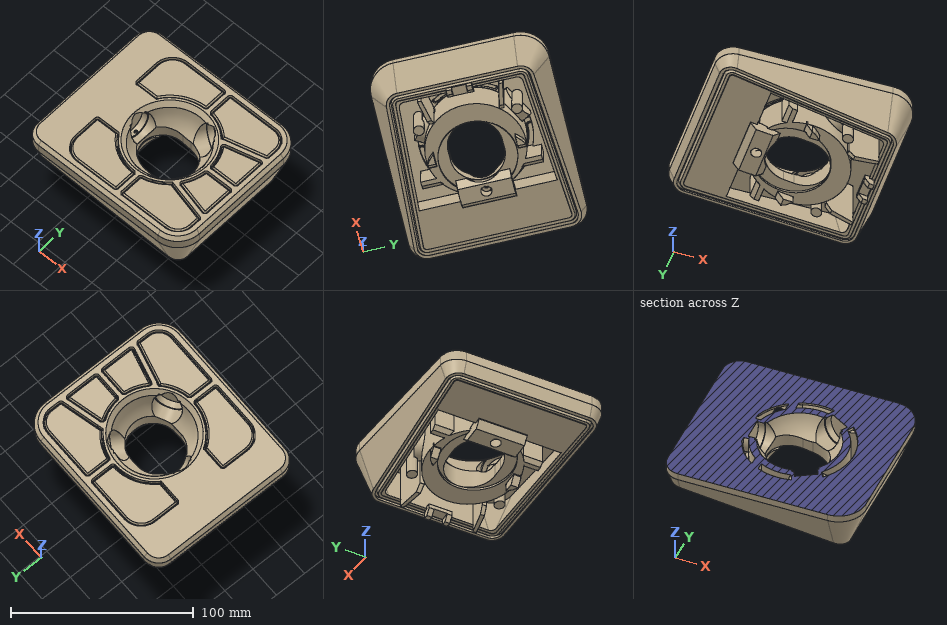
import cadquery as cq
import math

LENGTH = 115.0
WIDTH = 100.0
LOW_CORNER_RADIUS = 10.4
HIGH_CORNER_RADIUS = 16.1
TOP_CHAMFER = 2.2
BAND_HEIGHT = 8.2
SIDE_TAPER = 20.0
BOTTOM_SLOPE = 9.7
BOTTOM_Z_AT_CENTRE = -24.7
FULL_DEPTH = 33.9

RIM_WIDTH = 1.8
RIM_GROOVE_WIDTH = 1.7
RIM_GROOVE_DEPTH = 2.3
PLATE_INSET = 5.3
PLATE_RECESS = 0.3

SOCKET_X = 4.4
SOCKET_MOUTH_RADIUS = 26.7
SOCKET_NECK_RADIUS = 23.8
SOCKET_BALL_RADIUS = 24.5
OVAL_X = 3.1
OVAL_LENGTH = 36.2
OVAL_WIDTH = 30.2
UNDER_RECESS_X = -0.6
UNDER_RECESS_RADIUS = 21.8
UNDER_RECESS_DEPTH = 1.7

SIDE_POCKET_ANGLES = (60.0, 180.0, 300.0)
SIDE_POCKET_Z = -8.6
SIDE_POCKET_DIAMETER = 17.4
SIDE_BORE_DIAMETER = 15.6
SIDE_POCKET_STEP = 23.7
SIDE_BORE_END = 27.7
SIDE_BOSS_DIAMETER = 19.5
SIDE_BOSS_END = 32.2

SCREW_X = -20.7
SCREW_DIAMETER = 2.0
SCREW_HEAD_DIAMETER = 6.0
SCREW_HEAD_DEPTH = 3.5

PAD_LEFT = -35.6
PAD_RIGHT = 52.3
PAD_SIDE = 44.7
PAD_INNER_SIDE = 15.1
PAD_SOCKET_RADIUS = 28.2
WEB_WIDTH = 2.5
CROSS_WEB_X = 6.8
SLANT_WEB_X = 28.9
SLANT_WEB_Y = 19.5
SLANT_WEB_ANGLE = 14.2
LEFT_PAD_RADIUS = 12.1
RIGHT_PAD_RADIUS = 10.4
PAD_SMALL_RADIUS = 1.8
END_PAD_SOCKET_X = (28.0, 32.4)
SLIT_WIDTH = 0.8
SLIT_DEPTH = 3.5
PAD_CHAMFER = 0.9

CAVITY_START_X = -25.1
CAVITY_CEILING = -5.2
CAVITY_WALL = 5.9
CAVITY_CORNER_RADIUS = 12.6
SOCKET_WALL_RADIUS = 28.0
RELIEF_RADIUS = 31.6
RELIEF_CEILING = -2.9
RIB_TOE_X = -10.4
RIB_THICKNESS = 2.3
RIB_RAMP = 2.8
RIB_Y = (20.7, 33.9)
POST_X = 23.0
POST_Y = 27.6
POST_DIAMETER = 6.0
POST_BOTTOM = -29.2

HOOK_HALF_WIDTH = 15.2
SIDE_CLIP_Y = (23.0, 27.6)
LEG_Y = (4.1, 7.2)
LEG_X = (39.6, 44.8)
LEG_ROOT = -29.9
LEG_RAMP_TOP = -32.4
LEG_RAMP_END = (42.1, -36.2)
LEG_BOTTOM = -36.7
BRIDGE_BOTTOM = -32.2

SLOPE = math.tan(math.radians(BOTTOM_SLOPE))


def bottom_z(x):
    """Height of the sloping bottom plane at the given X."""
    return BOTTOM_Z_AT_CENTRE - SLOPE * x


def above_bottom(lift=0.0):
    """Everything above the sloping bottom plane, which may be lifted."""
    points = [
        (-LENGTH, bottom_z(-LENGTH) + lift),
        (LENGTH, bottom_z(LENGTH) + lift),
        (LENGTH, LENGTH),
        (-LENGTH, LENGTH),
    ]
    return cq.Workplane("XZ").polyline(points).close().extrude(WIDTH, both=True)


def straight_band(inset):
    """Straight-sided band of the plate, with every side moved in by inset."""
    plate = cq.Workplane("XY").rect(LENGTH - 2 * inset, WIDTH - 2 * inset).extrude(-BAND_HEIGHT)
    plate = plate.edges("|Z and <X").fillet(LOW_CORNER_RADIUS - inset)
    return plate.edges("|Z and >X").fillet(HIGH_CORNER_RADIUS - inset)


def tapered_body(inset):
    """Straight band with the tapered skirt below it."""
    band = straight_band(inset)
    skirt = (
        band.faces("<Z").wires().toPending()
        .workplane()
        .extrude(FULL_DEPTH - BAND_HEIGHT, taper=SIDE_TAPER, combine=False)
    )
    return band.union(skirt)


def with_mirror(solid):
    """The solid together with its mirror image across Y = 0."""
    return solid.union(solid.mirror("XZ"))


def profile_block(points, y_range):
    """Side profile in X and Z, swept between two Y positions."""
    start, end = y_range
    return cq.Workplane("XZ", origin=(0, start, 0)).polyline(points).close().extrude(start - end)


def socket_cylinder(radius, top, bottom):
    """Vertical cylinder on the socket axis."""
    return cq.Workplane("XY", origin=(SOCKET_X, 0, bottom)).circle(radius).extrude(top - bottom)


def side_cylinder(angle, diameter, end):
    """Horizontal cylinder on a side pocket's axis, from the socket axis outwards."""
    cylinder = cq.Workplane("YZ", origin=(0, 0, SIDE_POCKET_Z)).circle(diameter / 2).extrude(end)
    return cylinder.rotate((0, 0, 0), (0, 0, 1), angle).translate((SOCKET_X, 0, 0))


def make_wedge():
    wedge = tapered_body(0).intersect(above_bottom())
    return wedge.faces(">Z").chamfer(TOP_CHAMFER)


def make_rim_groove():
    groove = tapered_body(RIM_WIDTH).cut(tapered_body(RIM_WIDTH + RIM_GROOVE_WIDTH))
    return groove.cut(above_bottom(RIM_GROOVE_DEPTH))


def make_plate_recess():
    return tapered_body(PLATE_INSET).cut(above_bottom(PLATE_RECESS))


def make_cavity():
    floor_plan = cq.Sketch().rect(LENGTH - 2 * CAVITY_WALL, WIDTH - 2 * CAVITY_WALL)
    floor_plan = floor_plan.vertices().fillet(CAVITY_CORNER_RADIUS)
    cavity = (
        cq.Workplane("XY", origin=(0, 0, CAVITY_CEILING))
        .placeSketch(floor_plan)
        .extrude(-FULL_DEPTH, taper=SIDE_TAPER)
    )
    relief = socket_cylinder(RELIEF_RADIUS, RELIEF_CEILING, CAVITY_CEILING)
    high_end = cq.Workplane("XY", origin=(CAVITY_START_X, 0, -2 * FULL_DEPTH))
    high_end = high_end.box(LENGTH, WIDTH, 2 * FULL_DEPTH, centered=(False, True, False))
    cavity = cavity.union(relief).intersect(high_end)
    cavity = cavity.cut(socket_cylinder(SOCKET_WALL_RADIUS, 0, -FULL_DEPTH)).cut(make_ribs_and_posts())
    for angle in SIDE_POCKET_ANGLES:
        cavity = cavity.cut(side_cylinder(angle, SIDE_BOSS_DIAMETER, SIDE_BOSS_END))
    return cavity


def make_ribs_and_posts():
    toe_z = bottom_z(RIB_TOE_X)
    heel_x = RIB_TOE_X + RIB_THICKNESS
    ramp_start_x = RIB_TOE_X - RIB_RAMP
    rib = profile_block(
        [
            (ramp_start_x, 0),
            (ramp_start_x, toe_z + RIB_RAMP),
            (RIB_TOE_X, toe_z),
            (heel_x, bottom_z(heel_x)),
            (heel_x, 0),
        ],
        RIB_Y,
    )
    post = cq.Workplane("XY").center(POST_X, POST_Y).circle(POST_DIAMETER / 2).extrude(POST_BOTTOM)
    return with_mirror(rib.union(post)).intersect(above_bottom())


def make_socket():
    """Conical mouth leading into the lower part of a ball."""
    cone_height = SOCKET_MOUTH_RADIUS - SOCKET_NECK_RADIUS
    ball_centre_z = math.sqrt(SOCKET_BALL_RADIUS**2 - SOCKET_NECK_RADIUS**2) - cone_height
    profile = (
        cq.Workplane("XZ")
        .lineTo(SOCKET_MOUTH_RADIUS, 0)
        .lineTo(SOCKET_NECK_RADIUS, -cone_height)
        .radiusArc((0, ball_centre_z - SOCKET_BALL_RADIUS), SOCKET_BALL_RADIUS)
        .close()
    )
    return profile.revolve().translate((SOCKET_X, 0, 0))


def make_oval():
    return cq.Workplane("XY").center(OVAL_X, 0).slot2D(OVAL_LENGTH, OVAL_WIDTH).extrude(-2 * FULL_DEPTH)


def make_under_recess():
    recess = cq.Workplane("XY").center(UNDER_RECESS_X, 0).circle(UNDER_RECESS_RADIUS).extrude(-FULL_DEPTH)
    return recess.cut(above_bottom(UNDER_RECESS_DEPTH))


def make_side_pocket(angle):
    pocket = side_cylinder(angle, SIDE_POCKET_DIAMETER, SIDE_POCKET_STEP)
    return pocket.union(side_cylinder(angle, SIDE_BORE_DIAMETER, SIDE_BORE_END))


def make_screw_hole():
    screw = cq.Workplane("XY").center(SCREW_X, 0)
    shank = screw.circle(SCREW_DIAMETER / 2).extrude(-FULL_DEPTH)
    head = screw.circle(SCREW_HEAD_DIAMETER / 2).extrude(-FULL_DEPTH)
    return shank.union(head.cut(above_bottom(SCREW_HEAD_DEPTH)))


def slant_web_y(x, side):
    """Y of one edge of the slanted web; side is +1 for the outer edge, -1 for the inner."""
    slant = math.radians(SLANT_WEB_ANGLE)
    centre_y = SLANT_WEB_Y + (x - SLANT_WEB_X) * math.tan(slant)
    return centre_y + side * WEB_WIDTH / 2 / math.cos(slant)


def round_corner(window, x, y, radius):
    """Round the upright edge of a pad window that lies nearest to (x, y)."""
    nearest = cq.selectors.NearestToPointSelector((x, y, -SLIT_DEPTH / 2))
    return window.edges("|Z").edges(nearest).fillet(radius)


def make_pad_slit(corners, socket_corners_x):
    """Slit around one pad.

    corners are (x, y, radius), with radius 0 for a corner that the socket clearance cuts away.
    socket_corners_x are the X places where a corner on the socket arc is rounded.
    """
    window = cq.Workplane("XY").polyline([(x, y) for x, y, _ in corners]).close().extrude(-SLIT_DEPTH)
    window = window.cut(socket_cylinder(PAD_SOCKET_RADIUS, 0, -SLIT_DEPTH))
    for x, y, radius in corners:
        if radius:
            window = round_corner(window, x, y, radius)
    for x in socket_corners_x:
        arc_y = math.sqrt(PAD_SOCKET_RADIUS**2 - (x - SOCKET_X) ** 2)
        window = round_corner(window, x, arc_y, PAD_SMALL_RADIUS)
    pad = (
        window.faces(">Z").wires().toPending()
        .workplane()
        .offset2D(-SLIT_WIDTH)
        .extrude(-SLIT_DEPTH, combine=False)
        .faces(">Z")
        .chamfer(PAD_CHAMFER)
    )
    return window.cut(pad)


def make_pad_slits():
    cross_web_left = CROSS_WEB_X - WEB_WIDTH / 2
    cross_web_right = CROSS_WEB_X + WEB_WIDTH / 2
    left_pad = [
        (PAD_LEFT, PAD_INNER_SIDE, PAD_SMALL_RADIUS),
        (PAD_LEFT, PAD_SIDE, LEFT_PAD_RADIUS),
        (cross_web_left, PAD_SIDE, PAD_SMALL_RADIUS),
        (cross_web_left, PAD_INNER_SIDE, 0),
    ]
    right_pad = [
        (cross_web_right, PAD_SIDE, PAD_SMALL_RADIUS),
        (PAD_RIGHT, PAD_SIDE, RIGHT_PAD_RADIUS),
        (PAD_RIGHT, slant_web_y(PAD_RIGHT, 1), PAD_SMALL_RADIUS),
        (cross_web_right, slant_web_y(cross_web_right, 1), 0),
    ]
    end_pad = [
        (PAD_RIGHT, slant_web_y(PAD_RIGHT, -1), PAD_SMALL_RADIUS),
        (PAD_RIGHT, WEB_WIDTH / 2, PAD_SMALL_RADIUS),
        (SOCKET_X, WEB_WIDTH / 2, 0),
        (SOCKET_X, slant_web_y(SOCKET_X, -1), 0),
    ]
    slits = make_pad_slit(left_pad, [cross_web_left])
    slits = slits.union(make_pad_slit(right_pad, [cross_web_right]))
    slits = slits.union(make_pad_slit(end_pad, END_PAD_SOCKET_X))
    return with_mirror(slits)


def plan_prism(points):
    """Plan outline in X and Y, extruded down past the clips."""
    return cq.Workplane("XY").polyline(points).close().extrude(-2 * FULL_DEPTH)


def make_hook():
    """Broad ramped hook below the low edge of the socket."""
    profile = [(-29.0, -16.1), (-29.0, -19.9), (-25.8, -24.6), (-16.0, -26.0), (-11.8, -22.7)]
    return profile_block(profile, (-HOOK_HALF_WIDTH, HOOK_HALF_WIDTH))


def make_side_clip():
    """Ramped clip beside the socket, with its outer rear corner cut away."""
    inner_y, outer_y = SIDE_CLIP_Y
    profile = [(-0.7, -22.4), (-0.7, -24.8), (2.5, -30.0), (8.0, -30.4), (8.4, -24.2)]
    plan = [(-0.7, inner_y), (-0.7, outer_y), (2.5, outer_y), (5.1, 26.2), (8.4, inner_y)]
    return profile_block(profile, SIDE_CLIP_Y).intersect(plan_prism(plan))


def make_end_clip():
    """Ramped strip that runs outwards towards the high corner."""
    profile = [
        (25.8, CAVITY_CEILING),
        (25.8, -29.8),
        (29.0, -34.2),
        (42.1, -36.2),
        (42.1, CAVITY_CEILING),
    ]
    plan = [(25.8, 18.3), (25.8, 20.9), (42.1, 23.9), (42.1, 21.7)]
    return profile_block(profile, (0, WIDTH / 2)).intersect(plan_prism(plan))


def make_leg():
    """One leg of the fork at the high end."""
    leg_start, leg_end = LEG_X
    profile = [
        (leg_start, LEG_ROOT),
        (leg_start, LEG_RAMP_TOP),
        LEG_RAMP_END,
        (leg_end, LEG_BOTTOM),
        (leg_end, LEG_ROOT),
    ]
    return profile_block(profile, LEG_Y)


def make_fork_bridge():
    """Web that joins the two legs of the fork."""
    leg_start, leg_end = LEG_X
    end_drop = SLOPE * (leg_end - leg_start)
    profile = [
        (leg_start, LEG_ROOT),
        (leg_start, BRIDGE_BOTTOM),
        (leg_end, BRIDGE_BOTTOM - end_drop),
        (leg_end, LEG_ROOT),
    ]
    return profile_block(profile, (-LEG_Y[0], LEG_Y[0]))


def make_clips():
    paired_clips = make_side_clip().union(make_end_clip()).union(make_leg())
    return with_mirror(paired_clips).union(make_hook()).union(make_fork_bridge())


part = make_wedge().cut(make_rim_groove()).cut(make_cavity())
part = part.cut(make_plate_recess()).cut(make_under_recess())
part = part.union(make_clips())
part = part.cut(make_socket()).cut(make_oval())
for pocket_angle in SIDE_POCKET_ANGLES:
    part = part.cut(make_side_pocket(pocket_angle))
result = part.cut(make_pad_slits()).cut(make_screw_hole())